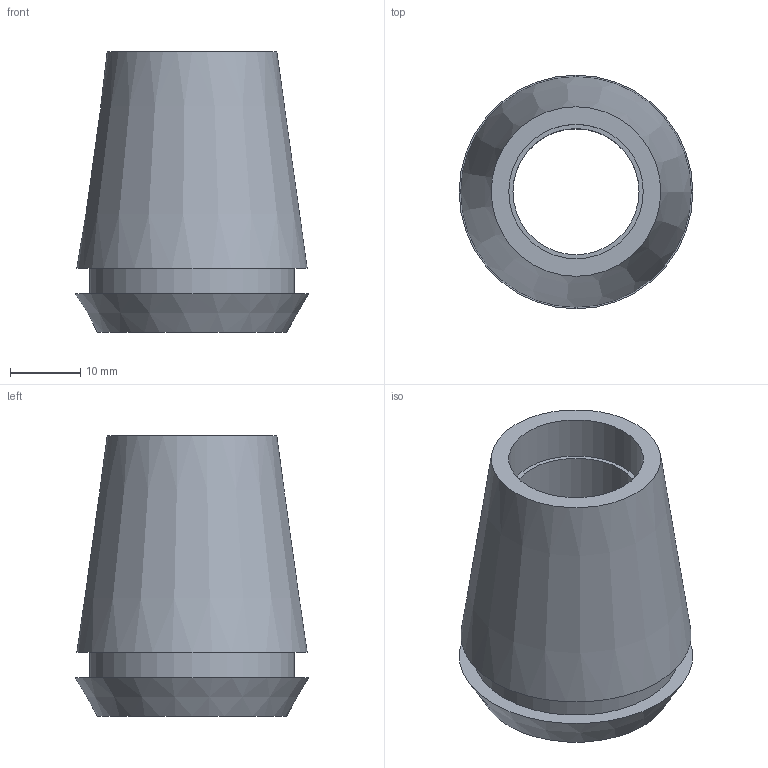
import cadquery as cq
import math

total_height = 40.0
flange_height = 5.5
groove_width = 3.6
groove_top = flange_height + groove_width

flange_diameter = 33.35
groove_diameter = 29.2
body_top_diameter = 24.2
flange_half_angle = 30.0
body_half_angle = 8.0

bore_diameter = 18.0
counterbore_diameter = 19.2
counterbore_depth = 6.3


def cone_spread(height, half_angle):
    """Change in radius of a cone over the given height."""
    return height * math.tan(math.radians(half_angle))


flange_radius = flange_diameter / 2
base_radius = flange_radius - cone_spread(flange_height, flange_half_angle)
groove_radius = groove_diameter / 2
body_top_radius = body_top_diameter / 2
body_base_radius = body_top_radius + cone_spread(total_height - groove_top, body_half_angle)
bore_radius = bore_diameter / 2
counterbore_radius = counterbore_diameter / 2
counterbore_floor = total_height - counterbore_depth

half_section = [
    (bore_radius, 0),
    (base_radius, 0),
    (flange_radius, flange_height),
    (groove_radius, flange_height),
    (groove_radius, groove_top),
    (body_base_radius, groove_top),
    (body_top_radius, total_height),
    (counterbore_radius, total_height),
    (counterbore_radius, counterbore_floor),
    (bore_radius, counterbore_floor),
]

result = (
    cq.Workplane("XZ")
    .polyline(half_section)
    .close()
    .revolve(360, (0, 0, 0), (0, 1, 0))
)